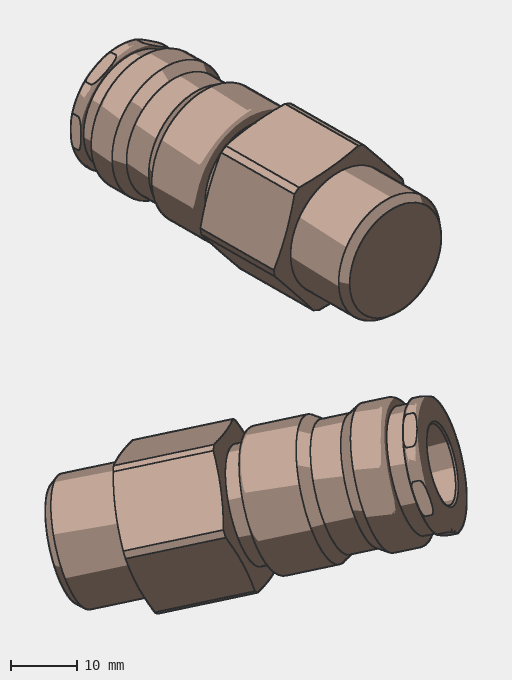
import cadquery as cq
import math

flange_end = 2.5
sleeve_start = 5.15
sleeve_cone_start = 10.4
waist_start = 12.4
waist_end = 17.3
sleeve_cone_end = 19.2
sleeve_end = 28.7
hex_start = 31.4
hex_end = 48.6
total_length = 60.5

flange_diameter = 21.8
flange_fillet = 0.8
flange_across_flats = 20.95
flange_corner_angle = 30.0

nose_diameter = 20.0
neck_diameter = 18.95
shoulder_x = (sleeve_start + sleeve_end) / 2

spigot_diameter = 21.0
spigot_tip_diameter = 18.95
spigot_chamfer_length = 1.35

hex_across_flats = 24.0
hex_corner_diameter = 27.05
hex_corner_angle = 10.0
hex_front_face_diameter = 23.85
hex_rear_face_diameter = 22.75
hex_chamfer_angle = 15.0

bore_diameter = 12.6
bore_depth = 6.2
bore_chamfer = 0.3

sleeve_diameter = 23.2
waist_diameter = 20.95
sleeve_front_fillet = 1.1
sleeve_rear_fillet = 0.9


def cylinder(x_start, x_end, diameter):
    """Solid cylinder on the X axis."""
    return cq.Workplane("YZ", origin=(x_start, 0, 0)).circle(diameter / 2).extrude(x_end - x_start)


def revolved(profile):
    """Solid of revolution about the X axis from (x, radius) points."""
    return cq.Workplane("XY").polyline(profile).close().revolve(360, (0, 0, 0), (1, 0, 0))


def hexagonal_prism(x_start, x_end, across_flats, corner_angle):
    """Hexagonal prism on the X axis with a corner at corner_angle degrees from +Y toward +Z."""
    corner_to_corner = across_flats / math.cos(math.radians(30))
    prism = (
        cq.Workplane("YZ", origin=(x_start, 0, 0))
        .polygon(6, corner_to_corner)
        .extrude(x_end - x_start)
    )
    return prism.rotate((0, 0, 0), (1, 0, 0), corner_angle)


def make_flange():
    """Rounded collar at the plug end with six grip flats."""
    collar = cylinder(0, flange_end, flange_diameter).edges().fillet(flange_fillet)
    return collar.intersect(hexagonal_prism(0, flange_end, flange_across_flats, flange_corner_angle))


def make_hexagon():
    """Wrench hexagon with turned corners and a shallow chamfer on both ends."""
    corner_radius = hex_corner_diameter / 2
    front_radius = hex_front_face_diameter / 2
    rear_radius = hex_rear_face_diameter / 2
    chamfer_slope = math.tan(math.radians(hex_chamfer_angle))
    turned_blank = revolved([
        (hex_start, 0),
        (hex_start, front_radius),
        (hex_start + (corner_radius - front_radius) * chamfer_slope, corner_radius),
        (hex_end - (corner_radius - rear_radius) * chamfer_slope, corner_radius),
        (hex_end, rear_radius),
        (hex_end, 0),
    ])
    prism = hexagonal_prism(hex_start, hex_end, hex_across_flats, hex_corner_angle)
    return turned_blank.intersect(prism)


def make_spigot():
    """Plain cylinder behind the hexagon with a chamfered tip."""
    return revolved([
        (hex_end, 0),
        (hex_end, spigot_diameter / 2),
        (total_length - spigot_chamfer_length, spigot_diameter / 2),
        (total_length, spigot_tip_diameter / 2),
        (total_length, 0),
    ])


def make_bore():
    """Blind plug bore with a chamfered mouth, as a cutting tool."""
    bore_radius = bore_diameter / 2
    return revolved([
        (0, 0),
        (0, bore_radius + bore_chamfer),
        (bore_chamfer, bore_radius),
        (bore_depth, bore_radius),
        (bore_depth, 0),
    ])


def make_body():
    """Coupling body: flange, nose, neck, hexagon and spigot in one piece."""
    nose = cylinder(flange_end, shoulder_x, nose_diameter)
    neck = cylinder(shoulder_x, hex_start, neck_diameter)
    return (
        make_flange()
        .union(nose)
        .union(neck)
        .union(make_hexagon())
        .union(make_spigot())
        .cut(make_bore())
    )


def make_sleeve():
    """Waisted release sleeve fitted closely around the nose and neck."""
    outer_radius = sleeve_diameter / 2
    waist_radius = waist_diameter / 2
    nose_radius = nose_diameter / 2
    neck_radius = neck_diameter / 2
    front_arc_middle = sleeve_front_fillet * (1 - math.cos(math.radians(45)))
    rear_arc_middle = sleeve_rear_fillet * (1 - math.cos(math.radians(45)))
    profile = (
        cq.Workplane("XY")
        .moveTo(sleeve_start, nose_radius)
        .lineTo(sleeve_start, outer_radius - sleeve_front_fillet)
        .threePointArc(
            (sleeve_start + front_arc_middle, outer_radius - front_arc_middle),
            (sleeve_start + sleeve_front_fillet, outer_radius),
        )
        .lineTo(sleeve_cone_start, outer_radius)
        .lineTo(waist_start, waist_radius)
        .lineTo(waist_end, waist_radius)
        .lineTo(sleeve_cone_end, outer_radius)
        .lineTo(sleeve_end - sleeve_rear_fillet, outer_radius)
        .threePointArc(
            (sleeve_end - rear_arc_middle, outer_radius - rear_arc_middle),
            (sleeve_end, outer_radius - sleeve_rear_fillet),
        )
        .lineTo(sleeve_end, neck_radius)
        .lineTo(shoulder_x, neck_radius)
        .lineTo(shoulder_x, nose_radius)
        .close()
    )
    return profile.revolve(360, (0, 0, 0), (1, 0, 0))


body = make_body()
sleeve = make_sleeve()

result = cq.Compound.makeCompound([body.val(), sleeve.val()])